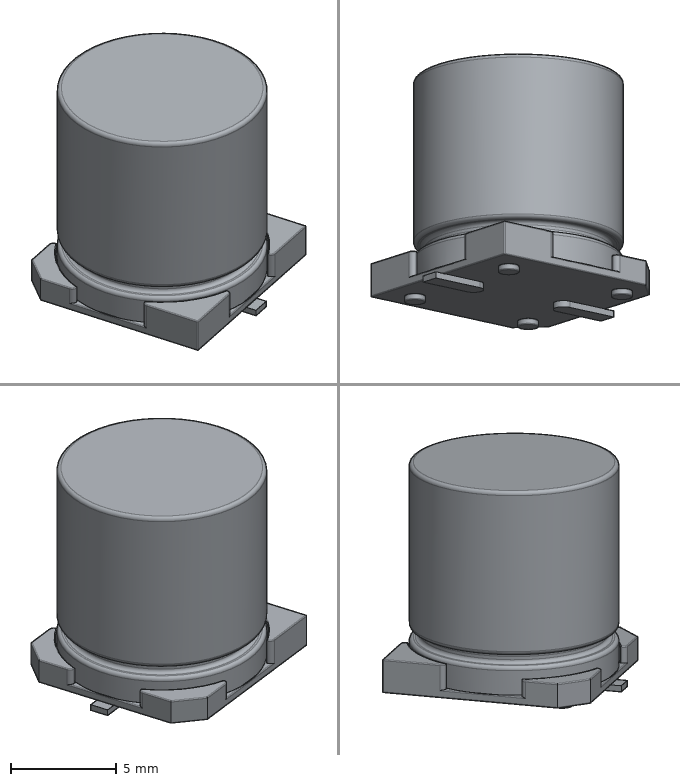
import cadquery as cq

overall_length = 11.0
overall_height = 10.8
can_diameter = 10.0
neck_diameter = 9.0

can_radius = can_diameter / 2
neck_radius = neck_diameter / 2
base_side = can_diameter

standoff = 0.31
floor_top = 0.7
low_post_top = 1.53
high_post_top = 1.96
lip_start = 1.91

bend_radius = 0.2
neck_height = 0.15

corner_chamfer = 1.25
base_edge_radius = 0.05
opening_half_width = 1.89
post_tip_radius = 0.24
post_clearance = 0.08

terminal_width = 0.96
terminal_nose_x = 2.3
foot_diameter = 1.0
foot_offset = 3.5
foot_edge_radius = 0.05


def make_can():
    """Revolved can with a crimped groove near its foot."""
    groove_low = lip_start + bend_radius
    neck_low = groove_low + bend_radius
    neck_high = neck_low + neck_height
    groove_high = neck_high + bend_radius
    wall_low = groove_high + bend_radius
    lip_radius = can_radius - bend_radius
    root_radius = neck_radius + bend_radius
    profile = (
        cq.Workplane("XZ")
        .moveTo(0, floor_top)
        .lineTo(can_radius, floor_top)
        .lineTo(can_radius, lip_start)
        .radiusArc((lip_radius, groove_low), -bend_radius)
        .lineTo(root_radius, groove_low)
        .radiusArc((neck_radius, neck_low), bend_radius)
        .lineTo(neck_radius, neck_high)
        .radiusArc((root_radius, groove_high), bend_radius)
        .lineTo(lip_radius, groove_high)
        .radiusArc((can_radius, wall_low), -bend_radius)
        .lineTo(can_radius, overall_height - bend_radius)
        .radiusArc((lip_radius, overall_height), -bend_radius)
        .lineTo(0, overall_height)
        .close()
    )
    return profile.revolve(360, (0, 0, 0), (0, 1, 0))


def base_block(bottom, top):
    """Square block with the two -X corners cut off and the two +X corners slightly rounded."""
    block = cq.Workplane("XY", origin=(0, 0, bottom)).rect(base_side, base_side).extrude(top - bottom)
    return block.edges("|Z and <X").chamfer(corner_chamfer).edges("|Z and >X").fillet(base_edge_radius)


def make_base_plate():
    plate = base_block(standoff, floor_top)
    return plate.faces("<Z or >Z").edges().fillet(base_edge_radius)


def make_post(x_side, y_side, top):
    """Corner post with a rounded tip on each side, standing clear of the can."""
    bottom = standoff + base_edge_radius
    span = base_side / 2 - opening_half_width
    centre = opening_half_width + span / 2
    quadrant = (
        cq.Workplane("XY", origin=(x_side * centre, y_side * centre, bottom))
        .rect(span, span)
        .extrude(top - bottom)
    )
    tip_edges = "(<X and >Y) or (>X and <Y)" if x_side == y_side else "(<X and <Y) or (>X and >Y)"
    quadrant = quadrant.edges(f"|Z and ({tip_edges})").fillet(post_tip_radius)
    post = quadrant.intersect(base_block(bottom, top))
    can_room = (
        cq.Workplane("XY", origin=(0, 0, floor_top))
        .circle(can_radius + post_clearance)
        .extrude(top - floor_top)
    )
    return post.cut(can_room).faces(">Z").edges().fillet(base_edge_radius)


def make_terminal(side):
    """Flat terminal strip with a half-round inner end."""
    nose_radius = terminal_width / 2
    tip_x = side * overall_length / 2
    nose_centre_x = side * (terminal_nose_x + nose_radius)
    return (
        cq.Workplane("XY")
        .moveTo(tip_x, -nose_radius)
        .lineTo(nose_centre_x, -nose_radius)
        .threePointArc((side * terminal_nose_x, 0), (nose_centre_x, nose_radius))
        .lineTo(tip_x, nose_radius)
        .close()
        .extrude(standoff)
    )


def make_feet():
    """Four round feet under the base."""
    return (
        cq.Workplane("XY")
        .rect(2 * foot_offset, 2 * foot_offset, forConstruction=True)
        .vertices()
        .circle(foot_diameter / 2)
        .extrude(standoff)
        .edges()
        .fillet(foot_edge_radius)
    )


result = make_base_plate()
for x_side, post_top in ((-1, low_post_top), (1, high_post_top)):
    for y_side in (-1, 1):
        result = result.union(make_post(x_side, y_side, post_top))
    result = result.union(make_terminal(x_side))
result = result.union(make_feet()).union(make_can())